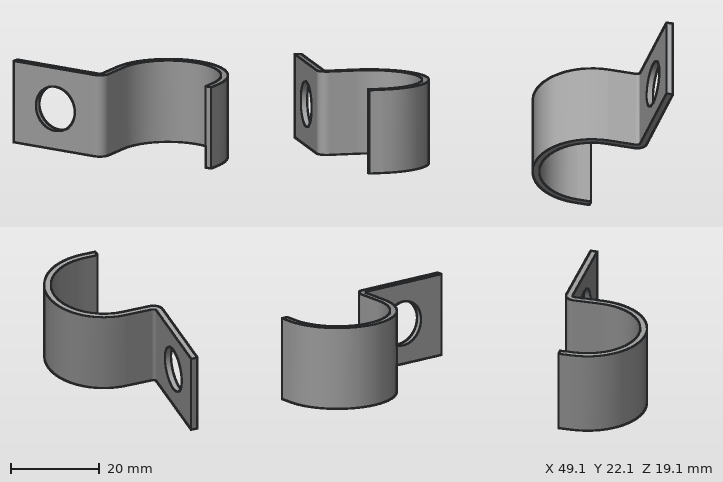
import cadquery as cq

overall_length = 49.11
overall_depth = 22.15
strip_width = 19.05
thickness = 1.52
loop_inner_radius = 11.91
bend_inner_radius = 0.76
free_end_length = 3.2
hole_diameter = 10.32
hole_from_foot_end = 11.1

loop_outer_radius = loop_inner_radius + thickness
bend_outer_radius = bend_inner_radius + thickness
foot_end_x = loop_outer_radius - overall_length
foot_bottom_y = loop_outer_radius - overall_depth
foot_top_y = foot_bottom_y + thickness
bend_center_x = -loop_outer_radius - bend_inner_radius
bend_center_y = foot_top_y + bend_inner_radius


def make_bent_strip():
    """Foot, rounded bend, leg, half-round loop and free end at constant thickness."""
    return (
        cq.Workplane("XY")
        .workplane(offset=-strip_width / 2)
        .moveTo(foot_end_x, foot_bottom_y)
        .lineTo(bend_center_x, foot_bottom_y)
        .radiusArc((-loop_inner_radius, bend_center_y), -bend_outer_radius)
        .lineTo(-loop_inner_radius, 0)
        .threePointArc((0, loop_inner_radius), (loop_inner_radius, 0))
        .lineTo(loop_inner_radius, -free_end_length)
        .lineTo(loop_outer_radius, -free_end_length)
        .lineTo(loop_outer_radius, 0)
        .threePointArc((0, loop_outer_radius), (-loop_outer_radius, 0))
        .lineTo(-loop_outer_radius, bend_center_y)
        .radiusArc((bend_center_x, foot_top_y), bend_inner_radius)
        .lineTo(foot_end_x, foot_top_y)
        .close()
        .extrude(strip_width)
    )


def make_screw_hole():
    """Cylinder through the foot along Y, centred on the strip width."""
    return (
        cq.Workplane("XZ", origin=(foot_end_x + hole_from_foot_end, foot_top_y, 0))
        .circle(hole_diameter / 2)
        .extrude(thickness)
    )


result = make_bent_strip().cut(make_screw_hole())